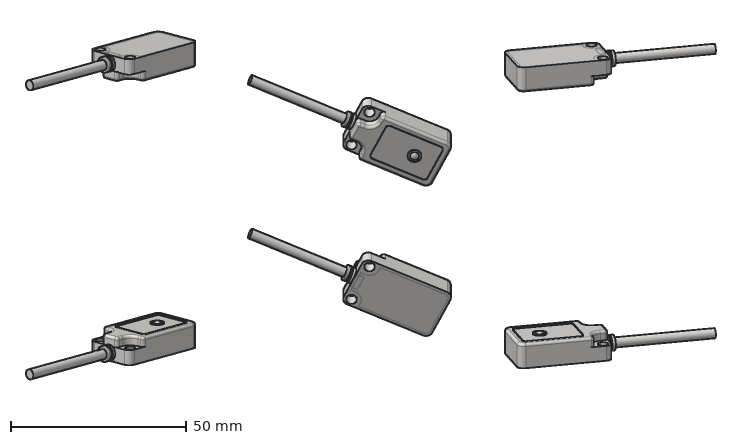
import cadquery as cq


total_height = 90.8
total_length = 60.5

width = 16.0
length = 28.0
height = 7.5
corner_radius = 2.0
top_fillet = 0.85

ear_height = 4.5
hole_diameter = 3.0
hole_spacing = 12.0
hole_y = 2.4
ear_pocket_radius = 3.0
ear_corner_fillet = 1.0

label_margin = 2.0
label_length = 18.0
label_corner = 1.0
label_depth = 0.25

pad_diameter = 4.0
lens_diameter = 2.6
lens_rise = 0.6
lens_y = 19.5

cover_margin = 0.85
cover_corner = 1.2
cover_hole_clearance = 2.75
cover_thickness = 0.5

inlet_width = 4.6
inlet_end_y = 2.4
inlet_neck_width = 4.0
inlet_corner = 0.3

cable_axis_z = 2.5
cable_diameter = 3.0
bushing_diameter = 4.7
bushing_length = 2.6
groove_diameter = 3.6
groove_start = 0.9
groove_width = 0.6
bushing_end_fillet = 0.3

hole_xs = (-hole_spacing / 2, hole_spacing / 2)


def box_between(x_min, x_max, y_min, y_max, z_min, z_max):
    """Box given by its limits on the three axes."""
    box = cq.Workplane("XY").box(x_max - x_min, y_max - y_min, z_max - z_min, centered=False)
    return box.translate((x_min, y_min, z_min))


def upright_cylinder(x, y, radius, z_min, z_max):
    """Cylinder along Z."""
    return cq.Workplane("XY", origin=(x, y, z_min)).circle(radius).extrude(z_max - z_min)


def ear_pocket(side):
    """Space above one ear: round about the hole and open to the side and to the front."""
    hole_x = side * hole_spacing / 2
    wall_x = side * width / 2
    inner_x = hole_x - side * ear_pocket_radius
    back_y = hole_y + ear_pocket_radius
    pocket = upright_cylinder(hole_x, hole_y, ear_pocket_radius, ear_height, height)
    to_side = box_between(*sorted((hole_x, wall_x)), 0, back_y, ear_height, height)
    to_front = box_between(*sorted((inner_x, wall_x)), 0, hole_y, ear_height, height)
    return pocket.union(to_side).union(to_front)


def make_housing():
    """Rounded block with lowered ears, rounded upper edges and mounting holes."""
    block = box_between(-width / 2, width / 2, 0, length, 0, height)
    block = block.edges("|Z").fillet(corner_radius)
    for side in (-1, 1):
        block = block.cut(ear_pocket(side))

    neck_x = hole_spacing / 2 - ear_pocket_radius
    corner_points = [(side * neck_x, 0) for side in (-1, 1)]
    corner_points += [(side * width / 2, hole_y + ear_pocket_radius) for side in (-1, 1)]
    middle_z = (ear_height + height) / 2
    for x, y in corner_points:
        point = (x, y, middle_z)
        block = block.edges(cq.selectors.NearestToPointSelector(point)).fillet(ear_corner_fillet)

    block = block.faces(">Z").edges().fillet(top_fillet)
    for x in hole_xs:
        block = block.cut(upright_cylinder(x, hole_y, hole_diameter / 2, 0, height))
    return block


def make_label_recess():
    """Shallow rounded rectangle in the lens face."""
    half_width = width / 2 - label_margin
    y_max = length - label_margin
    recess = box_between(-half_width, half_width, y_max - label_length, y_max, height - label_depth, height)
    return recess.edges("|Z").fillet(label_corner)


def make_lens():
    """Round pad carrying a spherical cap."""
    pad = upright_cylinder(0, lens_y, pad_diameter / 2, height - label_depth, height)
    radius = lens_diameter / 2
    sphere_radius = (radius**2 + lens_rise**2) / (2 * lens_rise)
    sphere = cq.Workplane("XY").sphere(sphere_radius)
    sphere = sphere.translate((0, lens_y, height + lens_rise - sphere_radius))
    cap = sphere.intersect(upright_cylinder(0, lens_y, radius, height, height + lens_rise))
    return pad.union(cap)


def make_cable():
    """Bushing with one groove and a rounded free end, then the plain cable."""
    cable_end_y = length - total_length
    bushing_radius = bushing_diameter / 2
    groove_radius = groove_diameter / 2

    def section(radius, start, span):
        """Round length of cable or bushing, measured outwards from the front wall."""
        plane = cq.Workplane("XZ", origin=(0, -start, cable_axis_z))
        return plane.circle(radius).extrude(span)

    groove_end = groove_start + groove_width
    cable = section(cable_diameter / 2, 0, -cable_end_y)
    cable = cable.union(section(groove_radius, 0, groove_end))
    cable = cable.union(section(bushing_radius, 0, groove_start))
    end_flange = section(bushing_radius, groove_end, bushing_length - groove_end)
    cable = cable.union(end_flange.faces("<Y").edges().fillet(bushing_end_fillet))
    return cable


def make_inlet():
    """Stepped plate around the bushing: wide inside, narrow at the front wall."""
    wide = box_between(-inlet_width / 2, inlet_width / 2, cover_margin, inlet_end_y, 0, cover_thickness)
    wide = wide.edges("|Z and >Y").fillet(inlet_corner)
    neck = box_between(-inlet_neck_width / 2, inlet_neck_width / 2, 0, cover_margin, 0, cover_thickness)
    return wide, neck


def make_cover():
    """Cover plate cut away around the mounting holes and the inlet."""
    half_width = width / 2 - cover_margin
    cover = box_between(-half_width, half_width, cover_margin, length - cover_margin, 0, cover_thickness)
    cover = cover.edges("|Z").fillet(cover_corner)
    for side in (-1, 1):
        hole_x = side * hole_spacing / 2
        wall_x = side * width / 2
        inner_x = hole_x - side * cover_hole_clearance
        back_y = hole_y + cover_hole_clearance
        cover = cover.cut(upright_cylinder(hole_x, hole_y, cover_hole_clearance, 0, cover_thickness))
        cover = cover.cut(box_between(*sorted((hole_x, wall_x)), 0, back_y, 0, cover_thickness))
        cover = cover.cut(box_between(*sorted((inner_x, wall_x)), 0, hole_y, 0, cover_thickness))
    return cover


def make_sensor():
    """One complete sensor as a single solid."""
    sensor = make_housing().cut(make_label_recess()).union(make_lens()).union(make_cable())
    wide, neck = make_inlet()
    cover = make_cover().cut(wide)
    for plate in (cover, wide, neck):
        sensor = sensor.cut(plate, clean=False).union(plate, clean=False)
    return sensor


lower_sensor = make_sensor()
upper_sensor = lower_sensor.rotate((0, 0, 0), (0, 1, 0), 180).translate((0, 0, total_height))

result = cq.Compound.makeCompound([lower_sensor.val(), upper_sensor.val()])